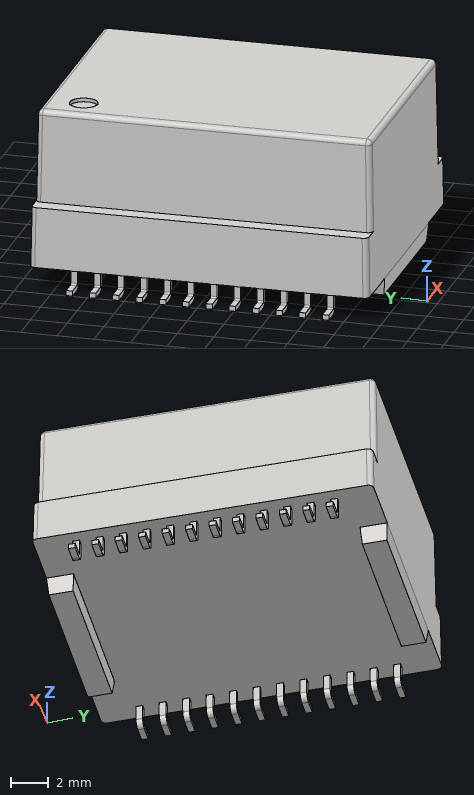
import cadquery as cq
import math

length = 18.5
lead_span = 15.95
total_height = 9.77

body_bottom = 1.3
base_width = 15.35
cover_width = 13.56
left_ledge_z = 4.65
right_ledge_z = 3.87
draft_angle = 1.0
edge_radius = 0.3

dimple_diameter = 1.5
dimple_x = -5.0
dimple_y = 7.01
dimple_depth = 0.2

foot_bottom = 0.3
foot_width_top = 8.95
foot_width_bottom = 8.51
foot_length_top = 1.48
foot_side_draft = 0.07

lead_count = 12
lead_row_length = 13.99
lead_pitch = lead_row_length / (lead_count - 1)
lead_width = 0.37
lead_thickness = 0.3
lead_leg_x = 7.03
lead_bend_radius = 0.1
lead_embed = 0.18


def drafted_block(width, top_z):
    """Block on the body bottom, tapering upward, with rounded upright corners."""
    height = top_z - body_bottom
    return (
        cq.Workplane("XY", origin=(0, 0, body_bottom))
        .rect(width, length)
        .extrude(height, taper=draft_angle)
        .edges("not(#Z or |X or |Y)")
        .fillet(edge_radius)
    )


def make_body():
    base = drafted_block(base_width, left_ledge_z)
    right_step = cq.Workplane("XY", origin=(0, 0, right_ledge_z)).box(
        base_width, length, left_ledge_z, centered=(False, True, False)
    )
    cover = drafted_block(cover_width, total_height).faces(">Z").edges().fillet(edge_radius)
    dimple = (
        cq.Workplane("XY", origin=(dimple_x, dimple_y, total_height - dimple_depth))
        .circle(dimple_diameter / 2)
        .extrude(dimple_depth)
    )
    return base.cut(right_step).union(cover).cut(dimple)


def make_foot(side):
    """Standoff foot narrowing downward; side is +1 or -1 along Y."""
    center_y = side * (length - foot_length_top) / 2
    return (
        cq.Workplane("XY", origin=(0, center_y, foot_bottom))
        .rect(foot_width_bottom, foot_length_top - 2 * foot_side_draft)
        .workplane(offset=body_bottom - foot_bottom)
        .rect(foot_width_top, foot_length_top)
        .loft()
    )


def make_lead(y):
    """Lead on the +X side: a leg down from the body, bent outward into a flat foot."""
    tip_x = lead_span / 2
    leg_inner_x = lead_leg_x - lead_thickness
    leg_top = body_bottom + lead_embed
    outer_radius = lead_bend_radius + lead_thickness
    bend_x = lead_leg_x + lead_bend_radius
    bend_z = outer_radius
    diagonal = math.sqrt(0.5)
    return (
        cq.Workplane("XZ", origin=(0, y, 0))
        .moveTo(leg_inner_x, leg_top)
        .lineTo(leg_inner_x, bend_z)
        .threePointArc((bend_x - outer_radius * diagonal, bend_z - outer_radius * diagonal), (bend_x, 0))
        .lineTo(tip_x, 0)
        .lineTo(tip_x, lead_thickness)
        .lineTo(bend_x, lead_thickness)
        .threePointArc(
            (bend_x - lead_bend_radius * diagonal, bend_z - lead_bend_radius * diagonal),
            (lead_leg_x, bend_z),
        )
        .lineTo(lead_leg_x, leg_top)
        .close()
        .extrude(lead_width / 2, both=True)
    )


result = make_body()

for side in (-1, 1):
    result = result.union(make_foot(side))

for index in range(lead_count):
    lead = make_lead(index * lead_pitch - lead_row_length / 2)
    result = result.union(lead).union(lead.mirror("YZ"))